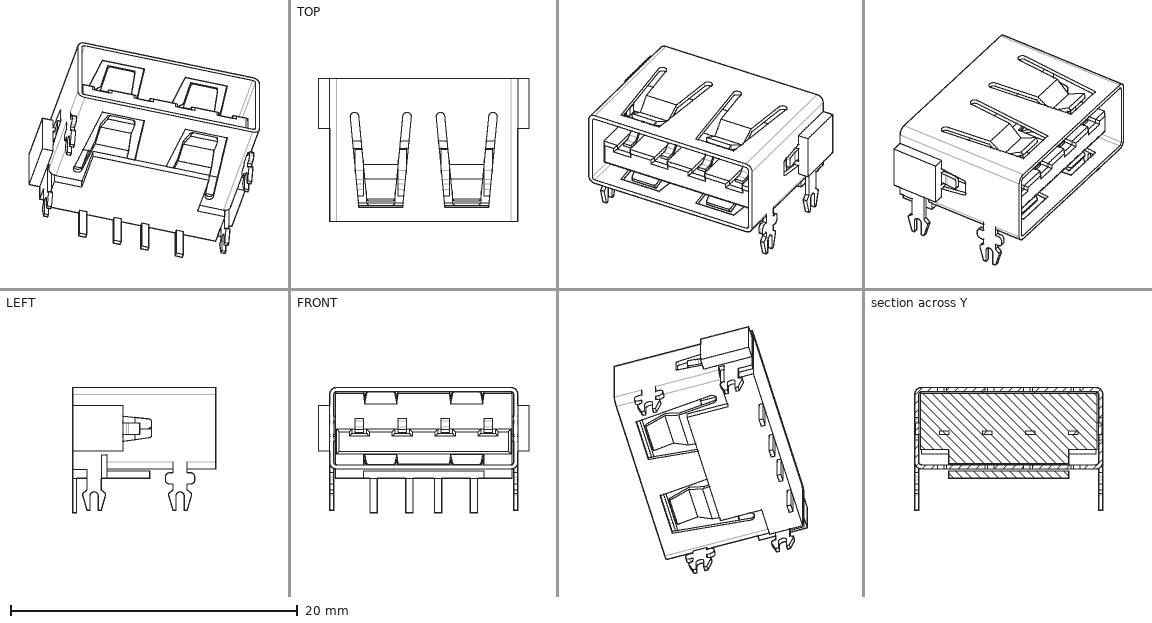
import cadquery as cq
import math


LENGTH = 10.0
SHEET = 0.3
SHELL_HALF_WIDTH = 6.575
SHELL_TOP = 6.35
SHELL_BOTTOM = 0.65
BEND_RADIUS = 0.5
SHELL_HEIGHT = SHELL_TOP - SHELL_BOTTOM
SHELL_MID = (SHELL_TOP + SHELL_BOTTOM) / 2
INNER_HALF_WIDTH = SHELL_HALF_WIDTH - SHEET
FLOOR_REAR = 7.6
NOTCH_TOP = 1.64
SKIRT_FRONT = 8.0
SKIRT_BOTTOM = 0.61

FINGER_X = 3.0
SLOT_WIDTH = 0.6
SLOT_FRONT = 1.0
ROOF_SLOT_REAR = 7.33
FLOOR_SLOT_REAR = 6.6
FINGER_TAPER = 0.096
FINGER_FRONT_HALF = 0.925
FINGER_TIP = 1.43
FINGER_VALLEY = 2.97
FINGER_BEND = 4.0
TIP_BELOW_SKIN = 0.05
TIP_CORNER = 0.2
ROOF_FINGER_DEPTH = 0.8
FLOOR_FINGER_DEPTH = 0.68

WINDOW_FRONT = 4.5
WINDOW_REAR = 9.0
WINDOW_FRONT_BOTTOM = 2.86
WINDOW_FRONT_TOP = 4.12
WINDOW_REAR_BOTTOM = 2.58
WINDOW_REAR_TOP = 4.34
WINDOW_CORNER = 0.15
TAB_Z = 3.46
TAB_HALF = 0.41
TAB_ROOT = 7.2
TAB_BEND = 6.17
TAB_TIP = 5.29
TAB_INSET = 0.09
TAB_BEND_RADIUS = 0.7
TAB_CORNER = 0.12
TAB_CLEARANCE = 0.12

FRONT_LEG_Y = 2.5
REAR_LEG_Y = 8.5
LEG_HALF = 0.5
LEG_BOTTOM = -2.24
BARB_HALF = 0.81
BARB_Z = -1.06
BARB_FLAT = 0.1
BARB_TOP = -0.8
FORK_SLOT = 0.56
FORK_TOP = -0.95
EAR_SPAN = 2.06
EAR_HEIGHT = 0.8
EAR_CORNER = 0.3

FLANGE_HALF_SPAN = 7.35
FLANGE_FRONT = 6.5
FLANGE_BOTTOM = 1.9
FLANGE_TOP = 5.1
BASE_HALF_WIDTH = 6.175
BASE_TOP = 5.95
BASE_FRONT = 5.63
SHOULDER_BOTTOM = 2.0
CENTRE_HALF_WIDTH = 4.2
CENTRE_BOTTOM = 1.02
FOOT_FRONT = 4.6
FOOT_HEIGHT = 0.52
TONGUE_HALF_WIDTH = 6.1
TONGUE_FRONT = 1.1
TONGUE_BOTTOM = 1.69
TONGUE_TOP = 3.45
TONGUE_CHAMFER = 0.2

CONTACT_X = (-4.5, -1.5, 1.5, 4.5)
CONTACT_WIDTH = 0.6
CONTACT_THICKNESS = 0.2
CONTACT_TIP = 1.8
CONTACT_TIP_TOP = 3.4
CONTACT_CREST = 3.33
CONTACT_CREST_TOP = 4.19
CONTACT_RADIUS = 0.5
CONTACT_RISE = math.radians(53)
CONTACT_FALL = math.radians(30)
CONTACT_ROOT_BEND = 5.05
CONTACT_ROOT_REAR = 6.6
GROOVE_WIDTH = 1.0
GROOVE_FLOOR = 3.15
GROOVE_REAR = 5.12
PIN_X = (-3.5, -1.0, 1.0, 3.5)
PIN_WIDTH = 0.52
PIN_THICKNESS = 0.28
PIN_LENGTH = 2.4


def box(x0, x1, y0, y1, z0, z1):
    """Block between two corner points."""
    return cq.Workplane("XY").box(x1 - x0, y1 - y0, z1 - z0, centered=False).translate((x0, y0, z0))


def mirrored(body):
    """The body together with its copy on the other side of the middle plane."""
    return body.union(body.mirror("YZ"))


def side_wall_plate(profile):
    """Extrude a (Y, Z) outline, drawn on the YZ plane, through the +X side wall thickness."""
    return profile.extrude(SHEET).translate((INNER_HALF_WIDTH, 0, 0))


def shell_tube():
    outer = (
        cq.Workplane("XZ").center(0, SHELL_MID).rect(2 * SHELL_HALF_WIDTH, SHELL_HEIGHT)
        .extrude(-LENGTH).edges("|Y").fillet(BEND_RADIUS)
    )
    inner = (
        cq.Workplane("XZ").center(0, SHELL_MID).rect(2 * INNER_HALF_WIDTH, SHELL_HEIGHT - 2 * SHEET)
        .extrude(-LENGTH).edges("|Y").fillet(BEND_RADIUS - SHEET)
    )
    return outer.cut(inner)


def open_rear_floor(shell):
    """Remove the floor behind FLOOR_REAR and continue the side walls straight down there."""
    bend_top = SHELL_BOTTOM + BEND_RADIUS
    shell = shell.cut(box(-SHELL_HALF_WIDTH, SHELL_HALF_WIDTH, FLOOR_REAR, LENGTH, 0, bend_top))
    shell = shell.cut(
        box(-SHELL_HALF_WIDTH, SHELL_HALF_WIDTH, FLOOR_REAR, SKIRT_FRONT, 0, NOTCH_TOP)
    )
    skirt = box(
        INNER_HALF_WIDTH, SHELL_HALF_WIDTH, SKIRT_FRONT, LENGTH, SKIRT_BOTTOM, bend_top
    )
    return shell.union(mirrored(skirt))


def finger_half_width(y):
    return FINGER_FRONT_HALF + FINGER_TAPER * (y - SLOT_FRONT)


def finger_opening(x, slot_rear):
    """U-shaped opening around one finger, tall enough to cut a single sheet centred on Z = 0."""
    front = finger_half_width(SLOT_FRONT)
    rear = finger_half_width(slot_rear)
    round_end = SLOT_WIDTH / 2
    return (
        cq.Workplane("XY")
        .moveTo(-front - SLOT_WIDTH, SLOT_FRONT)
        .lineTo(front + SLOT_WIDTH, SLOT_FRONT)
        .lineTo(rear + SLOT_WIDTH, slot_rear)
        .threePointArc((rear + round_end, slot_rear + round_end), (rear, slot_rear))
        .lineTo(finger_half_width(FINGER_BEND), FINGER_BEND)
        .lineTo(-finger_half_width(FINGER_BEND), FINGER_BEND)
        .lineTo(-rear, slot_rear)
        .threePointArc(
            (-rear - round_end, slot_rear + round_end), (-rear - SLOT_WIDTH, slot_rear)
        )
        .close()
        .extrude(2 * SHEET, both=True)
        .translate((x, 0, 0))
    )


def bent_finger(x, depth, slot_rear):
    """Free part of a roof finger: dips inward by depth and turns back up; outer skin at Z = 0."""
    fall = math.atan2(depth, FINGER_BEND - FINGER_VALLEY)
    rise = math.atan2(depth - TIP_BELOW_SKIN, FINGER_VALLEY - FINGER_TIP - SHEET / 2)
    valley_drop = SHEET * math.cos((fall - rise) / 2) / math.cos((fall + rise) / 2)
    valley_shift = SHEET * math.sin((fall - rise) / 2) / math.cos((fall + rise) / 2)
    tip_y = FINGER_TIP + SHEET * math.sin(rise)
    tip_z = -depth + (FINGER_VALLEY - tip_y) * math.tan(rise)
    strip = (
        cq.Workplane("YZ")
        .polyline([
            (FINGER_BEND, 0),
            (FINGER_VALLEY, -depth),
            (tip_y, tip_z),
            (FINGER_TIP, tip_z - SHEET * math.cos(rise)),
            (FINGER_VALLEY + valley_shift, -depth - valley_drop),
            (FINGER_BEND + SHEET * math.tan(fall / 2), -SHEET),
            (slot_rear, -SHEET),
            (slot_rear, 0),
        ])
        .close()
        .extrude(2 * FINGER_X, both=True)
    )
    tip_half = finger_half_width(FINGER_TIP)
    rear_half = finger_half_width(slot_rear)
    outline = (
        cq.Workplane("XY")
        .polyline([
            (-tip_half, FINGER_TIP),
            (tip_half, FINGER_TIP),
            (rear_half, slot_rear),
            (-rear_half, slot_rear),
        ])
        .close()
        .extrude(LENGTH, both=True)
        .edges("|Z and <Y").fillet(TIP_CORNER)
    )
    return strip.intersect(outline).translate((x, 0, 0))


def add_fingers(shell):
    for x in (-FINGER_X, FINGER_X):
        shell = shell.cut(finger_opening(x, ROOF_SLOT_REAR).translate((0, 0, SHELL_TOP)))
        shell = shell.cut(finger_opening(x, FLOOR_SLOT_REAR).translate((0, 0, SHELL_BOTTOM)))
        roof_finger = bent_finger(x, ROOF_FINGER_DEPTH, ROOF_SLOT_REAR)
        floor_finger = bent_finger(x, FLOOR_FINGER_DEPTH, FLOOR_SLOT_REAR).mirror("XY")
        shell = shell.union(roof_finger.translate((0, 0, SHELL_TOP)))
        shell = shell.union(floor_finger.translate((0, 0, SHELL_BOTTOM)))
    return shell


def side_window():
    """Opening in the +X wall: straight at the rear, tapering toward the mouth."""
    profile = cq.Workplane("YZ").polyline([
        (WINDOW_FRONT, WINDOW_FRONT_BOTTOM),
        (FLANGE_FRONT, WINDOW_REAR_BOTTOM),
        (WINDOW_REAR, WINDOW_REAR_BOTTOM),
        (WINDOW_REAR, WINDOW_REAR_TOP),
        (FLANGE_FRONT, WINDOW_REAR_TOP),
        (WINDOW_FRONT, WINDOW_FRONT_TOP),
    ]).close()
    return side_wall_plate(profile).edges("|X and <Y").fillet(WINDOW_CORNER)


def locking_tab():
    """Tab rooted at the rear edge of the +X window: leans inward, then back out toward its tip."""
    tip_skew = SHEET * TAB_INSET / (TAB_BEND - TAB_TIP)
    tab = (
        cq.Workplane("XY")
        .polyline([
            (SHELL_HALF_WIDTH, WINDOW_REAR),
            (SHELL_HALF_WIDTH, TAB_ROOT),
            (SHELL_HALF_WIDTH - TAB_INSET, TAB_BEND),
            (SHELL_HALF_WIDTH, TAB_TIP + tip_skew),
            (INNER_HALF_WIDTH, TAB_TIP),
            (INNER_HALF_WIDTH - TAB_INSET, TAB_BEND),
            (INNER_HALF_WIDTH, TAB_ROOT),
            (INNER_HALF_WIDTH, WINDOW_REAR),
        ])
        .close()
        .extrude(2 * TAB_HALF)
        .translate((0, 0, TAB_Z - TAB_HALF))
    )
    bend_zone = cq.selectors.BoxSelector(
        (0, TAB_BEND - SHEET, 0), (SHELL_HALF_WIDTH, TAB_BEND + SHEET, SHELL_TOP)
    )
    tab = tab.edges("|Z").edges(bend_zone).fillet(TAB_BEND_RADIUS)
    return tab.faces("<Y").edges("<Z or >Z").fillet(TAB_CORNER)


def leg(y, top):
    """Forked snap-in leg continuing the +X side wall downward from top."""
    profile = cq.Workplane("YZ").polyline([
        (y - LEG_HALF, top),
        (y - LEG_HALF, BARB_TOP),
        (y - BARB_HALF, BARB_Z),
        (y - BARB_HALF, BARB_Z - BARB_FLAT),
        (y - LEG_HALF, LEG_BOTTOM),
        (y + LEG_HALF, LEG_BOTTOM),
        (y + BARB_HALF, BARB_Z - BARB_FLAT),
        (y + BARB_HALF, BARB_Z),
        (y + LEG_HALF, BARB_TOP),
        (y + LEG_HALF, top),
    ]).close()
    slot_round_z = FORK_TOP - FORK_SLOT / 2
    slot = (
        cq.Workplane("YZ")
        .moveTo(y - FORK_SLOT / 2, LEG_BOTTOM)
        .lineTo(y - FORK_SLOT / 2, slot_round_z)
        .threePointArc((y, FORK_TOP), (y + FORK_SLOT / 2, slot_round_z))
        .lineTo(y + FORK_SLOT / 2, LEG_BOTTOM)
        .close()
    )
    return side_wall_plate(profile).cut(side_wall_plate(slot))


def leg_ears(y):
    """Rounded stop ears on both edges of a leg."""
    plate = side_wall_plate(cq.Workplane("YZ").center(y, 0).rect(EAR_SPAN, EAR_HEIGHT))
    return plate.edges("|X").fillet(EAR_CORNER)


def make_shell():
    shell = add_fingers(open_rear_floor(shell_tube()))
    shell = shell.cut(mirrored(side_window())).union(mirrored(locking_tab()))
    front_leg = leg(FRONT_LEG_Y, SHELL_BOTTOM + BEND_RADIUS).union(leg_ears(FRONT_LEG_Y))
    rear_leg = leg(REAR_LEG_Y, SHELL_BOTTOM + BEND_RADIUS)
    return shell.union(mirrored(front_leg)).union(mirrored(rear_leg))


def make_contact(x):
    """Spring strip: flat tip, two bends up to the crest, then a slope down into the housing."""
    t = CONTACT_THICKNESS
    r = CONTACT_RADIUS
    sloped = CONTACT_CREST_TOP - CONTACT_TIP_TOP - 2 * r * (1 - math.cos(CONTACT_RISE))
    run = 2 * r * math.sin(CONTACT_RISE) + sloped / math.tan(CONTACT_RISE)
    tip_bend_y = CONTACT_CREST - run
    tip_bend_z = CONTACT_TIP_TOP + r
    crest_z = CONTACT_CREST_TOP - r

    def tip_bend(radius, angle):
        return (tip_bend_y + radius * math.sin(angle), tip_bend_z - radius * math.cos(angle))

    def crest_bend(radius, angle):
        return (CONTACT_CREST + radius * math.sin(angle), crest_z + radius * math.cos(angle))

    crest_end = crest_bend(r, CONTACT_FALL)
    root_top = crest_end[1] - (CONTACT_ROOT_BEND - crest_end[0]) * math.tan(CONTACT_FALL)
    lower_bend_y = CONTACT_ROOT_BEND - t * math.tan(CONTACT_FALL / 2)
    profile = (
        cq.Workplane("YZ")
        .moveTo(CONTACT_TIP, CONTACT_TIP_TOP)
        .lineTo(*tip_bend(r, 0))
        .threePointArc(tip_bend(r, CONTACT_RISE / 2), tip_bend(r, CONTACT_RISE))
        .lineTo(*crest_bend(r, -CONTACT_RISE))
        .threePointArc(crest_bend(r, 0), crest_end)
        .lineTo(CONTACT_ROOT_BEND, root_top)
        .lineTo(CONTACT_ROOT_REAR, root_top)
        .lineTo(CONTACT_ROOT_REAR, root_top - t)
        .lineTo(lower_bend_y, root_top - t)
        .lineTo(*crest_bend(r - t, CONTACT_FALL))
        .threePointArc(crest_bend(r - t, 0), crest_bend(r - t, -CONTACT_RISE))
        .lineTo(*tip_bend(r + t, CONTACT_RISE))
        .threePointArc(tip_bend(r + t, CONTACT_RISE / 2), tip_bend(r + t, 0))
        .lineTo(CONTACT_TIP, CONTACT_TIP_TOP - t)
        .close()
    )
    return profile.extrude(CONTACT_WIDTH / 2, both=True).translate((x, 0, 0))


def tongue():
    """Contact carrier with four grooves; every edge of its front face is chamfered."""
    body = box(
        -TONGUE_HALF_WIDTH, TONGUE_HALF_WIDTH, TONGUE_FRONT, BASE_FRONT, TONGUE_BOTTOM, TONGUE_TOP
    )
    for x in CONTACT_X:
        groove = box(
            x - GROOVE_WIDTH / 2, x + GROOVE_WIDTH / 2, TONGUE_FRONT, GROOVE_REAR, GROOVE_FLOOR, TONGUE_TOP
        )
        body = body.cut(groove)
    return body.faces("<Y").edges().chamfer(TONGUE_CHAMFER)


def base():
    """Rear block with the centre block, lower rear wall and foot plate around the shell floor."""
    upper = box(-BASE_HALF_WIDTH, BASE_HALF_WIDTH, BASE_FRONT, LENGTH, SHOULDER_BOTTOM, BASE_TOP)
    centre = box(
        -CENTRE_HALF_WIDTH, CENTRE_HALF_WIDTH, BASE_FRONT, LENGTH, CENTRE_BOTTOM, SHOULDER_BOTTOM
    )
    rear_wall = box(-BASE_HALF_WIDTH, BASE_HALF_WIDTH, FLOOR_REAR, LENGTH, 0, SHOULDER_BOTTOM)
    foot = box(-CENTRE_HALF_WIDTH, CENTRE_HALF_WIDTH, FOOT_FRONT, LENGTH, 0, FOOT_HEIGHT)
    return upper.union(centre).union(rear_wall).union(foot)


def side_flange():
    """Outer +X flange with the lug that passes through the side window, slotted for the tab."""
    flange = box(
        SHELL_HALF_WIDTH, FLANGE_HALF_SPAN, FLANGE_FRONT, LENGTH, FLANGE_BOTTOM, FLANGE_TOP
    )
    lug = box(
        BASE_HALF_WIDTH, SHELL_HALF_WIDTH, FLANGE_FRONT, WINDOW_REAR,
        WINDOW_REAR_BOTTOM, WINDOW_REAR_TOP,
    )
    slot_half = TAB_HALF + TAB_CLEARANCE
    slot = box(
        BASE_HALF_WIDTH, SHELL_HALF_WIDTH, FLANGE_FRONT, WINDOW_REAR,
        TAB_Z - slot_half, TAB_Z + slot_half,
    )
    return flange.union(lug.cut(slot))


def make_housing(contacts):
    housing = base().union(tongue()).union(mirrored(side_flange()))
    for contact in contacts:
        housing = housing.cut(contact)
    return housing


def make_pin(x):
    """Straight pin below the housing, flush with the rear face."""
    return box(x - PIN_WIDTH / 2, x + PIN_WIDTH / 2, LENGTH - PIN_THICKNESS, LENGTH, -PIN_LENGTH, 0)


shell = make_shell()
contacts = [make_contact(x) for x in CONTACT_X]
housing = make_housing(contacts)
pins = [make_pin(x) for x in PIN_X]

result = cq.Compound.makeCompound(
    [shell.solids().val(), housing.solids().val()]
    + [contact.solids().val() for contact in contacts]
    + [pin.solids().val() for pin in pins]
)